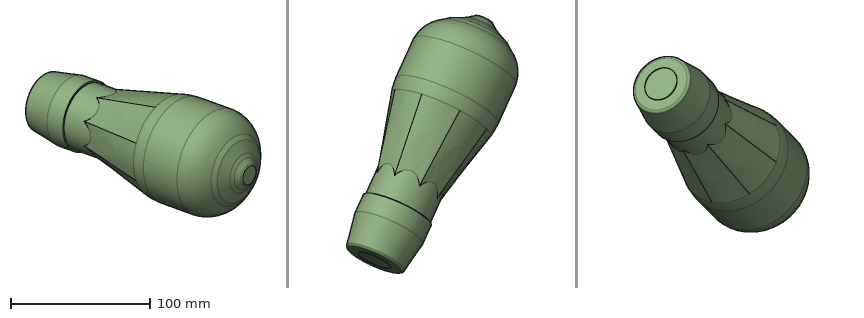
import cadquery as cq
import math


button_height = 0.5
butt_round_end = 2.1
collar_start = 25.7
collar_end = 40.8
flare_start = 58.1
flare_end = 118.4
grip_start = 129.0
grip_end = 160.9
dome_middle = 172.8
dome_end = 181.7
shoulder_end = 184.7
cone_end = 189.2
tip_start = 191.0
tip_round_start = 194.0
overall_length = 195.0

button_radius = 25.5 / 2
butt_face_radius = 20.7
butt_radius = 22.8
collar_radius = 53.8 / 2
neck_radius = 51.0 / 2
flare_end_radius = 39.0
grip_radius = 81.0 / 2
dome_middle_radius = 36.5
dome_end_radius = 27.1
shoulder_end_radius = 23.8
cone_end_radius = 15.0
tip_start_radius = 12.0
tip_round_radius = 8.2
tip_face_radius = 7.2

flare_sides = 8
half_side_angle = math.pi / flare_sides


def revolve(profile):
    """Turn a closed profile drawn in XY about the X axis."""
    return profile.close().revolve(360, (0, 0, 0), (1, 0, 0))


def polar_point(radius, angle):
    return radius * math.cos(angle), radius * math.sin(angle)


def make_butt_and_neck():
    """Round stock from the raised end button to the inside of the grip."""
    profile = (
        cq.Workplane("XY")
        .lineTo(0, button_radius)
        .lineTo(button_height, button_radius)
        .lineTo(button_height, butt_face_radius)
        .tangentArcPoint((butt_round_end, butt_radius), relative=False)
        .lineTo(collar_start, collar_radius)
        .lineTo(collar_end, collar_radius)
        .lineTo(collar_end, neck_radius)
        .lineTo(flare_end, neck_radius)
        .lineTo(flare_end, 0)
    )
    return revolve(profile)


def make_flare():
    """Ruled transition from an octagon, inscribed in the neck, to a circle."""
    corner_angles = [(2 * i + 1) * half_side_angle for i in range(flare_sides)]
    octagon = cq.Workplane("YZ", origin=(flare_start, 0, 0)).polyline(
        [polar_point(neck_radius, angle) for angle in corner_angles]
    )
    sections = octagon.close().workplane(offset=flare_end - flare_start)
    sections = sections.moveTo(*polar_point(flare_end_radius, corner_angles[0]))
    for angle in corner_angles:
        sections = sections.threePointArc(
            polar_point(flare_end_radius, angle + half_side_angle),
            polar_point(flare_end_radius, angle + 2 * half_side_angle),
        )
    return sections.close().loft(ruled=True)


def make_grip():
    """Blended grip entry, cylinder, dome and stepped cone ending in a small flat."""
    profile = (
        cq.Workplane("XY")
        .moveTo(grip_end, grip_radius)
        .lineTo(grip_start, grip_radius)
        .tangentArcPoint((flare_end, flare_end_radius), relative=False)
        .lineTo(flare_end, 0)
        .lineTo(overall_length, 0)
        .lineTo(overall_length, tip_face_radius)
        .lineTo(tip_round_start, tip_round_radius)
        .lineTo(tip_start, tip_start_radius)
        .lineTo(cone_end, cone_end_radius)
        .lineTo(shoulder_end, shoulder_end_radius)
        .lineTo(dome_end, dome_end_radius)
        .threePointArc((dome_middle, dome_middle_radius), (grip_end, grip_radius))
    )
    return revolve(profile)


result = make_butt_and_neck().union(make_flare()).union(make_grip())